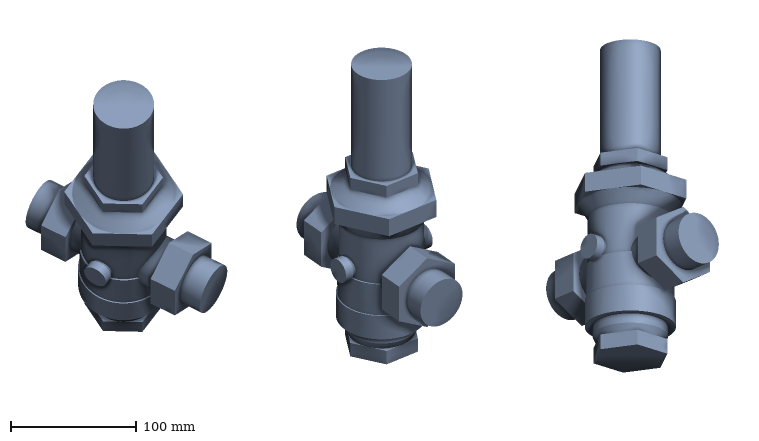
import cadquery as cq
import math

CAP_TOP_Z = 264.0
CAP_NUT_TOP_Z = 168.5
CAP_NUT_BOTTOM_Z = 157.3
BONNET_TOP_Z = 156.5
FLANGE_TOP_Z = 147.0
FLANGE_BOTTOM_Z = 131.0
FLARE_BOTTOM_Z = 119.9
PORT_AXIS_Z = 78.1
PIN_AXIS_Z = 85.3
COLLAR_TOP_Z = 49.0
COLLAR_BOTTOM_Z = 27.0
TAPER_TOP_Z = 19.0
PLUG_TOP_Z = 12.7

SMALL_HEX_FLATS = 54.5
FLANGE_FLATS = 82.0
UNION_NUT_FLATS = 56.2

CAP_RADIUS = 24.3
UPPER_BARREL_RADIUS = 34.0
LOWER_BARREL_RADIUS = 35.5
COLLAR_RADIUS = 36.5
NECK_RADIUS = 30.0
FLANGE_RADIUS = FLANGE_FLATS / 2
SMALL_HEX_RADIUS = SMALL_HEX_FLATS / 2

PORT_CENTER_X = 2.6
PORT_LENGTH = 163.0
STUB_RADIUS = 21.0
PORT_NECK_RADIUS = 22.0
UNION_NUT_LENGTH = 22.7
UNION_NUT_GAP = 79.7

PIN_HEAD_RADIUS = 10.3
PIN_SHANK_RADIUS = 9.0
PIN_SPAN = 87.0
PIN_HEAD_LENGTH = 7.5


def upright_hexagon(flats, bottom_z, top_z):
    """Hexagonal prism along Z with two flats facing +X and -X."""
    corner_diameter = flats / math.cos(math.pi / 6)
    return (
        cq.Workplane("XY", origin=(0, 0, bottom_z))
        .transformed(rotate=(0, 0, 90))
        .polygon(6, corner_diameter)
        .extrude(top_z - bottom_z)
    )


def make_barrel():
    """Turned core of the housing, from the top of the bonnet cone down to the plug."""
    profile = [
        (0, BONNET_TOP_Z),
        (SMALL_HEX_RADIUS, BONNET_TOP_Z),
        (FLANGE_RADIUS, FLANGE_TOP_Z),
        (FLANGE_RADIUS, FLANGE_BOTTOM_Z),
        (UPPER_BARREL_RADIUS, FLARE_BOTTOM_Z),
        (UPPER_BARREL_RADIUS, PORT_AXIS_Z),
        (LOWER_BARREL_RADIUS, PORT_AXIS_Z),
        (LOWER_BARREL_RADIUS, COLLAR_TOP_Z),
        (COLLAR_RADIUS, COLLAR_TOP_Z),
        (COLLAR_RADIUS, COLLAR_BOTTOM_Z),
        (NECK_RADIUS, COLLAR_BOTTOM_Z),
        (NECK_RADIUS, TAPER_TOP_Z),
        (SMALL_HEX_RADIUS, PLUG_TOP_Z),
        (0, PLUG_TOP_Z),
    ]
    return cq.Workplane("XZ").polyline(profile).close().revolve(360, (0, 0, 0), (0, 1, 0))


def port_plane(start_x):
    """Plane facing +X on the port axis."""
    return cq.Workplane("YZ", origin=(start_x, 0, PORT_AXIS_Z))


def make_ports():
    """Coaxial side pipes: a wider neck between the union nuts and a stub beyond each nut."""
    stubs = port_plane(PORT_CENTER_X - PORT_LENGTH / 2).circle(STUB_RADIUS).extrude(PORT_LENGTH)
    necks = port_plane(PORT_CENTER_X - UNION_NUT_GAP / 2).circle(PORT_NECK_RADIUS).extrude(UNION_NUT_GAP)
    return stubs.union(necks)


def make_union_nut(side):
    """Hexagonal nut on the port axis, with corners pointing up and down."""
    corner_diameter = UNION_NUT_FLATS / math.cos(math.pi / 6)
    center_x = PORT_CENTER_X + side * (UNION_NUT_GAP + UNION_NUT_LENGTH) / 2
    return (
        port_plane(center_x - UNION_NUT_LENGTH / 2)
        .transformed(rotate=(0, 0, 90))
        .polygon(6, corner_diameter)
        .extrude(UNION_NUT_LENGTH)
    )


def make_side_pin(side):
    """Headed pin that stands out of the barrel along Y."""
    plane = cq.Workplane("XZ", origin=(0, 0, PIN_AXIS_Z))
    tip = PIN_SPAN / 2
    shank = plane.circle(PIN_SHANK_RADIUS).extrude(side * tip)
    head = plane.workplane(offset=side * (tip - PIN_HEAD_LENGTH)).circle(PIN_HEAD_RADIUS)
    return shank.union(head.extrude(side * PIN_HEAD_LENGTH))


def make_housing():
    """Valve housing with flange, plug, side ports, union nuts and pins as one solid."""
    housing = make_barrel()
    housing = housing.union(upright_hexagon(FLANGE_FLATS, FLANGE_BOTTOM_Z, FLANGE_TOP_Z))
    housing = housing.union(upright_hexagon(SMALL_HEX_FLATS, 0, PLUG_TOP_Z))
    housing = housing.union(make_ports())
    for side in (-1, 1):
        housing = housing.union(make_union_nut(side))
        housing = housing.union(make_side_pin(side))
    return housing


def make_cap():
    """Spring cap: a hexagonal base and a tall cylinder, held just clear of the bonnet."""
    base = upright_hexagon(SMALL_HEX_FLATS, CAP_NUT_BOTTOM_Z, CAP_NUT_TOP_Z)
    tower = (
        cq.Workplane("XY", origin=(0, 0, CAP_NUT_TOP_Z))
        .circle(CAP_RADIUS)
        .extrude(CAP_TOP_Z - CAP_NUT_TOP_Z)
    )
    return base.union(tower)


housing = make_housing()
cap = make_cap()

result = cq.Compound.makeCompound([housing.val(), cap.val()])